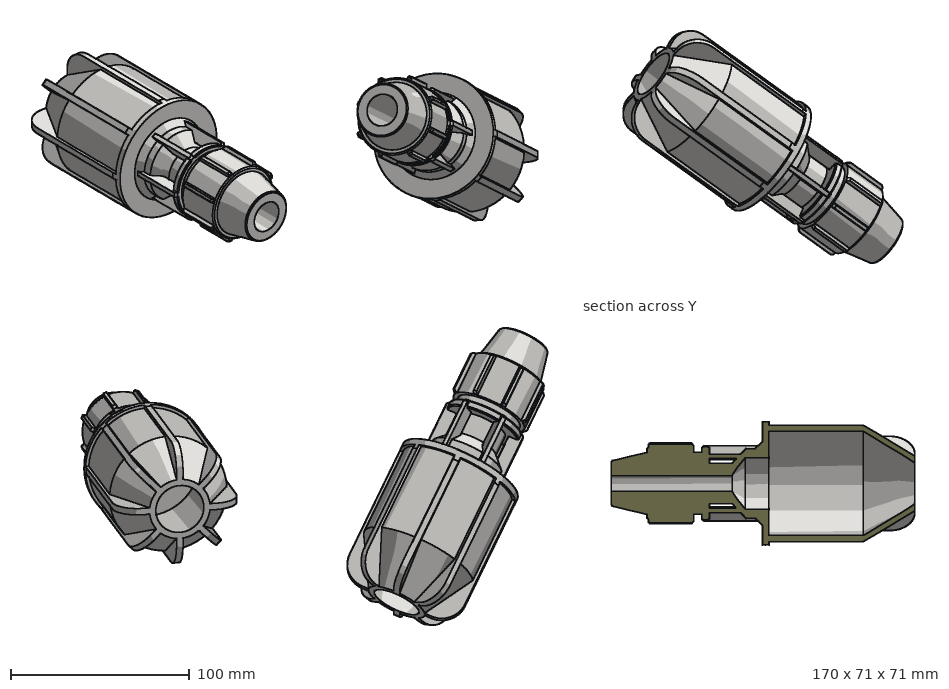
import cadquery as cq
import math

TOTAL_LENGTH = 170

NOSE_RADIUS = 17.3
CONE_LENGTH = 28.9
BODY_RADIUS = 33.7
FLANGE_RADIUS = 71.0 / 2
FLANGE_BLANK_RADIUS = FLANGE_RADIUS + 1.7
FLANGE_START = 81.6
FLANGE_END = 85.3

SHOULDER_RADIUS = 24.8
COLLAR_RADIUS = 21.2
COLLAR_START = 89.5
COLLAR_END = 94.5
NECK_RADIUS = 28.0 / 2
NECK_START = 102.2
RING_RADIUS = 22.1
RING_START = 115.0
RING_END = 119.3
RING_CHAMFER = 0.7
SEAT_RADIUS = 38.5 / 2

NUT_START = 123.6
NUT_END = 150.0
NUT_RADIUS = 22.0
NUT_CHAMFER = 0.8
TAIL_END_RADIUS = 15.1
TAIL_CHAMFER = 0.7

CAP_WALL = 3.5
MOUTH_RADIUS = NOSE_RADIUS - CAP_WALL
CAVITY_RADIUS = BODY_RADIUS - CAP_WALL
CAVITY_END = FLANGE_END - CAP_WALL
THROAT_RADIUS = 32.6 / 2
BORE_RADIUS = 18.0 / 2
THROAT_END = NECK_START - (THROAT_RADIUS - BORE_RADIUS)

FIN_COUNT = 8
FIN_THICKNESS = 3.7
FIN_RADIUS = FLANGE_RADIUS
FIN_CORNER_RADIUS = 14.3
FIN_FOOT_START = 79.0

RAIL_COUNT = 6
RAIL_THICKNESS = 2.7
RAIL_INNER_RADIUS = 16.0
RAIL_OUTER_RADIUS = 23.6
RAIL_CHAMFER = 1.4

KEY_COUNT = 8
KEY_BASE_WIDTH = 2.7
KEY_TOP_WIDTH = 2.0
KEY_RADIUS = 24.1
KEY_FRONT_CHAMFER = 1.5
KEY_REAR_CHAMFER = 1.0


def revolve_about_x(profile):
    return profile.close().revolve(360, (0, 0, 0), (1, 0, 0))


def plate(profile, thickness):
    """Radial plate centred on the XZ plane, from an outline in X and radius."""
    return profile.close().extrude(thickness / 2, both=True)


def ring_of(blade, count, first_angle=0):
    """Union of equally spaced copies of a blade around the X axis."""
    blades = cq.Workplane("XY")
    for i in range(count):
        angle = first_angle + 360 * i / count
        blades = blades.union(blade.rotate((0, 0, 0), (1, 0, 0), angle))
    return blades


def make_turned_body():
    nut_face_radius = NUT_RADIUS - NUT_CHAMFER
    ring_face_radius = RING_RADIUS - RING_CHAMFER
    return revolve_about_x(
        cq.Workplane("XZ")
        .moveTo(0, 0)
        .lineTo(0, NOSE_RADIUS)
        .lineTo(CONE_LENGTH, BODY_RADIUS)
        .lineTo(FLANGE_START, BODY_RADIUS)
        .lineTo(FLANGE_START, FLANGE_BLANK_RADIUS)
        .lineTo(FLANGE_END, FLANGE_BLANK_RADIUS)
        .lineTo(FLANGE_END, SHOULDER_RADIUS)
        .lineTo(COLLAR_START, COLLAR_RADIUS)
        .lineTo(COLLAR_END, COLLAR_RADIUS)
        .lineTo(NECK_START, NECK_RADIUS)
        .lineTo(RING_START, NECK_RADIUS)
        .lineTo(RING_START, ring_face_radius)
        .lineTo(RING_START + RING_CHAMFER, RING_RADIUS)
        .lineTo(RING_END - RING_CHAMFER, RING_RADIUS)
        .lineTo(RING_END, ring_face_radius)
        .lineTo(RING_END, SEAT_RADIUS)
        .lineTo(NUT_START, SEAT_RADIUS)
        .lineTo(NUT_START, NUT_RADIUS)
        .lineTo(NUT_END - NUT_CHAMFER, NUT_RADIUS)
        .lineTo(NUT_END, nut_face_radius)
        .lineTo(NUT_END, SEAT_RADIUS)
        .lineTo(TOTAL_LENGTH - TAIL_CHAMFER, TAIL_END_RADIUS)
        .lineTo(TOTAL_LENGTH, TAIL_END_RADIUS - TAIL_CHAMFER)
        .lineTo(TOTAL_LENGTH, 0)
    )


def make_cavity():
    return revolve_about_x(
        cq.Workplane("XZ")
        .moveTo(0, 0)
        .lineTo(0, MOUTH_RADIUS)
        .lineTo(CONE_LENGTH, CAVITY_RADIUS)
        .lineTo(CAVITY_END, CAVITY_RADIUS)
        .lineTo(CAVITY_END, THROAT_RADIUS)
        .lineTo(THROAT_END, THROAT_RADIUS)
        .lineTo(NECK_START, BORE_RADIUS)
        .lineTo(TOTAL_LENGTH, BORE_RADIUS)
        .lineTo(TOTAL_LENGTH, 0)
    )


def make_fin():
    """Flat-topped cap fin, rounded at the nose."""
    corner_offset = FIN_CORNER_RADIUS * (1 - math.sqrt(0.5))
    return plate(
        cq.Workplane("XZ")
        .moveTo(0, MOUTH_RADIUS)
        .lineTo(0, FIN_RADIUS - FIN_CORNER_RADIUS)
        .threePointArc(
            (corner_offset, FIN_RADIUS - corner_offset),
            (FIN_CORNER_RADIUS, FIN_RADIUS),
        )
        .lineTo(FLANGE_START, FIN_RADIUS)
        .lineTo(FLANGE_START, MOUTH_RADIUS),
        FIN_THICKNESS,
    )


def make_flange_trim():
    """Ring that turns the flange blank and the fin feet down to one cylinder."""
    clear_radius = FLANGE_BLANK_RADIUS + 1.7
    return revolve_about_x(
        cq.Workplane("XZ")
        .moveTo(FIN_FOOT_START, FLANGE_RADIUS)
        .lineTo(FIN_FOOT_START, clear_radius)
        .lineTo(FLANGE_END, clear_radius)
        .lineTo(FLANGE_END, FLANGE_RADIUS)
    )


def make_rail():
    return plate(
        cq.Workplane("XZ")
        .moveTo(FLANGE_END, RAIL_INNER_RADIUS)
        .lineTo(FLANGE_END, RAIL_OUTER_RADIUS)
        .lineTo(RING_END - RAIL_CHAMFER, RAIL_OUTER_RADIUS)
        .lineTo(RING_END, RAIL_OUTER_RADIUS - RAIL_CHAMFER)
        .lineTo(RING_END, RAIL_INNER_RADIUS),
        RAIL_THICKNESS,
    )


def make_key():
    """Grip key: sides lean inwards from the nut surface, both ends are chamfered."""
    key_end = NUT_END - NUT_CHAMFER
    outline = plate(
        cq.Workplane("XZ")
        .moveTo(NUT_START, SEAT_RADIUS)
        .lineTo(NUT_START, KEY_RADIUS - KEY_FRONT_CHAMFER)
        .lineTo(NUT_START + KEY_FRONT_CHAMFER, KEY_RADIUS)
        .lineTo(key_end - KEY_REAR_CHAMFER, KEY_RADIUS)
        .lineTo(key_end, KEY_RADIUS - KEY_REAR_CHAMFER)
        .lineTo(key_end, SEAT_RADIUS),
        KEY_BASE_WIDTH,
    )
    section = (
        cq.Workplane("YZ", origin=(NUT_START, 0, 0))
        .moveTo(-KEY_BASE_WIDTH / 2, SEAT_RADIUS)
        .lineTo(-KEY_BASE_WIDTH / 2, NUT_RADIUS)
        .lineTo(-KEY_TOP_WIDTH / 2, KEY_RADIUS)
        .lineTo(KEY_TOP_WIDTH / 2, KEY_RADIUS)
        .lineTo(KEY_BASE_WIDTH / 2, NUT_RADIUS)
        .lineTo(KEY_BASE_WIDTH / 2, SEAT_RADIUS)
        .close()
        .extrude(key_end - NUT_START)
    )
    return outline.intersect(section)


fins = ring_of(make_fin(), FIN_COUNT)
rails = ring_of(make_rail(), RAIL_COUNT, first_angle=90)
keys = ring_of(make_key(), KEY_COUNT, first_angle=180 / KEY_COUNT)

result = (
    make_turned_body()
    .union(fins)
    .cut(make_flange_trim())
    .union(rails)
    .union(keys)
    .cut(make_cavity())
)